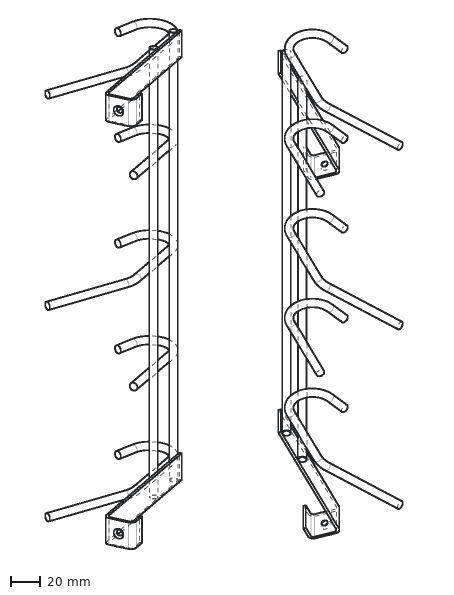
import cadquery as cq
import math

RACK_HEIGHT = 340.0
ROD_RADIUS = 3.0

STRIP_THICKNESS = 2.0
STRIP_WIDTH = 20.0
ARM_LENGTH = 114.0
FOOT_WIDTH = 22.8
LIP_LENGTH = 13.0
BEND_INNER_RADIUS = 2.0
SCREW_HOLE_DIAMETER = 4.5
COUNTERSINK_DIAMETER = 7.5
COUNTERSINK_ANGLE = 90.0

ROD_SPACING = 30.0
ROD_END_CHAMFER = 0.5

HOOK_COUNT = 5
CURL_RADIUS = 16.0
CURL_CENTRE_Y = 118.5
TIP_ANGLE = 20.0
TIP_LENGTH = 15.0
SHORT_SHANK_END_Y = 62.5
LONG_SHANK_END_Y = 68.0
LEG_BEND_RADIUS = 22.5
LEG_ANGLE = 29.5
LEG_LENGTH = 64.3
DOME_HEIGHT = 1.0

BEND_OUTER_RADIUS = BEND_INNER_RADIUS + STRIP_THICKNESS
BRACKET_Z = (RACK_HEIGHT - STRIP_WIDTH) / 2
ROD_X = -ROD_RADIUS
ROD_Y = ARM_LENGTH - ROD_RADIUS
SHANK_X = ROD_X - 2 * ROD_RADIUS
HOOK_SPACING = 2 * BRACKET_Z / (HOOK_COUNT - 1)


def edges_on_foot_side(y, x_left, x_right):
    """Selector for the strip's bend edges at depth y, between two X places."""
    reach = STRIP_THICKNESS / 2
    return cq.selectors.BoxSelector(
        (x_left - reach, y - reach, -STRIP_WIDTH),
        (x_right + reach, y + reach, STRIP_WIDTH),
    )


def make_bracket(z):
    """J-shaped strip with a countersunk screw hole in its foot, centred on height z."""
    inner_right = FOOT_WIDTH - STRIP_THICKNESS
    strip = (
        cq.Workplane("XY")
        .moveTo(0, 0)
        .lineTo(FOOT_WIDTH, 0)
        .lineTo(FOOT_WIDTH, LIP_LENGTH)
        .lineTo(inner_right, LIP_LENGTH)
        .lineTo(inner_right, STRIP_THICKNESS)
        .lineTo(STRIP_THICKNESS, STRIP_THICKNESS)
        .lineTo(STRIP_THICKNESS, ARM_LENGTH)
        .lineTo(0, ARM_LENGTH)
        .close()
        .extrude(STRIP_WIDTH / 2, both=True)
    )
    inner_corners = edges_on_foot_side(STRIP_THICKNESS, STRIP_THICKNESS, inner_right)
    outer_corners = edges_on_foot_side(0, 0, FOOT_WIDTH)

    strip = strip.edges("|Z").edges(inner_corners).fillet(BEND_INNER_RADIUS)
    strip = strip.edges("|Z").edges(outer_corners).fillet(BEND_OUTER_RADIUS)

    foot_face = cq.Workplane("XZ").center(FOOT_WIDTH / 2, 0)
    hole = foot_face.circle(SCREW_HOLE_DIAMETER / 2).extrude(-STRIP_THICKNESS)
    sink_depth = COUNTERSINK_DIAMETER / 2 / math.tan(math.radians(COUNTERSINK_ANGLE / 2))
    sink = cq.Solid.makeCone(
        COUNTERSINK_DIAMETER / 2,
        0,
        sink_depth,
        pnt=cq.Vector(FOOT_WIDTH / 2, 0, 0),
        dir=cq.Vector(0, 1, 0),
    )
    bracket = strip.cut(hole).cut(cq.Workplane(sink))
    return bracket.translate((0, 0, z))


def make_rod(y):
    """Upright rod over the full rack height, centred on depth y, with chamfered ends."""
    return (
        cq.Workplane("XY")
        .center(ROD_X, y)
        .circle(ROD_RADIUS)
        .extrude(RACK_HEIGHT)
        .faces("<Z or >Z")
        .chamfer(ROD_END_CHAMFER)
        .translate((0, 0, -RACK_HEIGHT / 2))
    )


def point_along(start, direction, distance):
    """Point at a distance from start along a unit direction in the XY plane."""
    return (start[0] + distance * direction[0], start[1] + distance * direction[1])


def leg_bend_point(angle):
    """Point on the centreline of the leg bend after it has turned by angle."""
    return (
        SHANK_X - LEG_BEND_RADIUS * (1 - math.cos(angle)),
        LONG_SHANK_END_Y - LEG_BEND_RADIUS * math.sin(angle),
    )


def make_dome(end, outward):
    """Shallow spherical cap that closes a hook wire at the point end, facing along outward."""
    sphere_radius = (ROD_RADIUS**2 + DOME_HEIGHT**2) / (2 * DOME_HEIGHT)
    half_angle = math.asin(ROD_RADIUS / sphere_radius)
    arc_middle = (
        sphere_radius * math.sin(half_angle / 2),
        DOME_HEIGHT - sphere_radius * (1 - math.cos(half_angle / 2)),
    )
    profile_plane = cq.Plane(
        origin=(*end, 0),
        xDir=(0, 0, 1),
        normal=(-outward[1], outward[0], 0),
    )
    return (
        cq.Workplane(profile_plane)
        .moveTo(0, 0)
        .lineTo(ROD_RADIUS, 0)
        .threePointArc(arc_middle, (0, DOME_HEIGHT))
        .close()
        .revolve(360, (0, 0, 0), (0, 1, 0))
    )


def make_hook(z, has_leg):
    """Round-wire hook at height z: curled tip, straight shank and, if asked for, a slanted leg."""
    tip_angle = math.radians(TIP_ANGLE)
    tip_outward = (-math.sin(tip_angle), -math.cos(tip_angle))
    curl_x = SHANK_X - CURL_RADIUS
    curl_start = (
        curl_x - CURL_RADIUS * math.cos(tip_angle),
        CURL_CENTRE_Y + CURL_RADIUS * math.sin(tip_angle),
    )
    tip_end = point_along(curl_start, tip_outward, TIP_LENGTH)
    shank_end = (SHANK_X, LONG_SHANK_END_Y if has_leg else SHORT_SHANK_END_Y)
    path = (
        cq.Workplane("XY")
        .moveTo(*tip_end)
        .lineTo(*curl_start)
        .threePointArc((curl_x, CURL_CENTRE_Y + CURL_RADIUS), (SHANK_X, CURL_CENTRE_Y))
        .lineTo(*shank_end)
    )
    wire_end = shank_end
    end_outward = (0, -1)

    if has_leg:
        leg_angle = math.radians(LEG_ANGLE)
        bend_middle = leg_bend_point(leg_angle / 2)
        leg_start = leg_bend_point(leg_angle)
        end_outward = (-math.sin(leg_angle), -math.cos(leg_angle))
        wire_end = point_along(leg_start, end_outward, LEG_LENGTH)
        path = path.threePointArc(bend_middle, leg_start).lineTo(*wire_end)

    section_plane = cq.Plane(
        origin=(*tip_end, 0),
        xDir=(0, 0, 1),
        normal=(*tip_outward, 0),
    )
    wire = cq.Workplane(section_plane).circle(ROD_RADIUS).sweep(path)
    hook = wire.union(make_dome(tip_end, tip_outward)).union(make_dome(wire_end, end_outward))
    return hook.translate((0, 0, z))


brackets = [make_bracket(z) for z in (-BRACKET_Z, BRACKET_Z)]
rods = [make_rod(y) for y in (ROD_Y, ROD_Y - ROD_SPACING)]

hooks = [
    make_hook(-BRACKET_Z + i * HOOK_SPACING, has_leg=i % 2 == 0)
    for i in range(HOOK_COUNT)
]

result = cq.Compound.makeCompound([body.val() for body in brackets + rods + hooks])